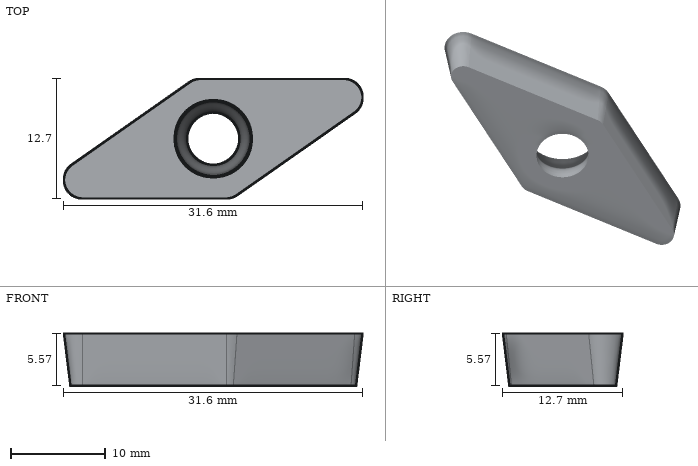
import cadquery as cq
import math

LENGTH = 31.65
WIDTH = 12.7
THICKNESS = 5.57
NOSE_ANGLE = 35.0
CLEARANCE_ANGLE = 7.0

BORE_DIAMETER = 5.5
MOUTH_DIAMETER = 8.2
SEAT_DIAMETER = 7.9
MOUTH_DEPTH = 2.03
BAND_HEIGHT = 0.22
SEAT_ARC_RADIUS = 3.48

inscribed_radius = WIDTH / 2
half_angle = math.radians(NOSE_ANGLE / 2)
apex_x = inscribed_radius / math.tan(half_angle)
obtuse_x = inscribed_radius * math.tan(half_angle)

corner_radius = (apex_x - LENGTH / 2) / (1 / math.tan(half_angle) - 1)


def insert_body():
    """Rounded rhombus, narrowing downward from the top face."""
    corners = [
        (-apex_x, -inscribed_radius),
        (obtuse_x, -inscribed_radius),
        (apex_x, inscribed_radius),
        (-obtuse_x, inscribed_radius),
    ]
    profile = cq.Sketch().polygon(corners + corners[:1]).vertices().fillet(corner_radius)
    return cq.Workplane("XY").placeSketch(profile).extrude(-THICKNESS, taper=CLEARANCE_ANGLE)


def screw_hole():
    """Revolved cutter whose convex seat blends tangentially into the bore."""
    bore_radius = BORE_DIAMETER / 2
    seat_radius = SEAT_DIAMETER / 2
    arc_center_x = bore_radius + SEAT_ARC_RADIUS
    arc_rise = math.sqrt(SEAT_ARC_RADIUS**2 - (arc_center_x - seat_radius) ** 2)
    seat_top_z = -MOUTH_DEPTH - BAND_HEIGHT
    arc_center_z = seat_top_z - arc_rise
    middle_angle = (math.pi + math.atan2(arc_rise, seat_radius - arc_center_x)) / 2
    arc_middle = (
        arc_center_x + SEAT_ARC_RADIUS * math.cos(middle_angle),
        arc_center_z + SEAT_ARC_RADIUS * math.sin(middle_angle),
    )
    return (
        cq.Workplane("XZ")
        .lineTo(MOUTH_DIAMETER / 2, 0)
        .lineTo(seat_radius, -MOUTH_DEPTH)
        .lineTo(seat_radius, seat_top_z)
        .threePointArc(arc_middle, (bore_radius, arc_center_z))
        .lineTo(bore_radius, -THICKNESS)
        .lineTo(0, -THICKNESS)
        .close()
        .revolve(360, (0, 0), (0, 1))
    )


result = insert_body().cut(screw_hole())